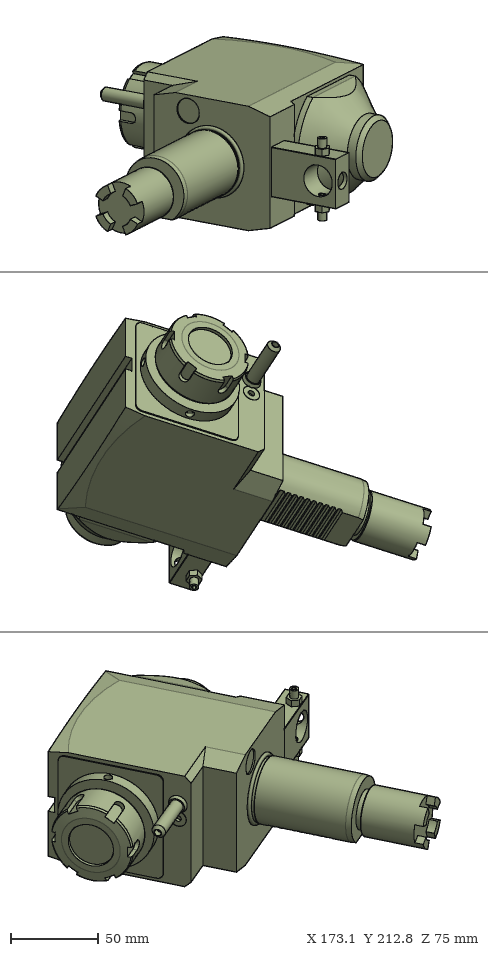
import cadquery as cq
import math


HALF_HEIGHT = 37.5
BACK_Y = 108.0
BLOCK_LEFT = -58.2
BLOCK_RIGHT = 35.7
BLOCK_FRONT = 20.5
COLUMN_HALF_WIDTH = 39.0
BEVEL_ANGLE = math.radians(15)
BEVEL_WIDTH = 14.5
BEVEL_DROP = BEVEL_WIDTH * math.tan(BEVEL_ANGLE)
COLUMN_SIDE_END = 26.7
COLUMN_BACK = 28.6
BACK_CONE_CENTER = (-17.0, -4.2)
BACK_CONE_RADIUS = 108.0
BACK_CONE_SPAN = 30.0
BACK_CONE_ANGLE = math.radians(10)
KEYWAY_WIDTH = 10.0
KEYWAY_DEPTH = 4.0
FRONT_PLUG_X = -16.0
FRONT_PLUG_Z = 27.8
FRONT_PLUG_RADIUS = 7.5
FRONT_PLUG_RECESS = 1.0

SPINDLE_Y = 69.5
TIP_X = -90.9
COVER_SPAN_Y = 64.4
COVER_SPAN_Z = 70.0
COVER_THICKNESS = 0.8
COVER_CORNER_RADIUS = 4.0
COLLAR_LEFT = -66.5
COLLAR_RADIUS = 29.5
NECK_RADIUS = 20.5
NUT_RADIUS = 25.0
NUT_RIGHT = -68.4
NUT_CHAMFER = 0.6
NUT_CHAMFER_LENGTH = 1.1
NUT_RIM_RADIUS = 24.4
NUT_RIM_X = TIP_X + 1.0
NUT_CONE_END_X = TIP_X + 2.5
NUT_FACE_RADIUS = 18.0
NUT_BORE_RADIUS = 13.8
NUT_BORE_DEPTH = 2.0
NUT_SLOT_WIDTH = 6.4
NUT_SLOT_FLOOR = 22.2
NUT_SLOT_COUNT = 6
SHORT_SLOT_LENGTH = 12.5
LONG_SLOT_LENGTH = 16.7
TOP_SLOTS = (1, 2)
COLLAR_HOLE_X = -62.8
COLLAR_HOLE_RADIUS = 2.5
COLLAR_HOLE_DEPTH = 3.0
DRILL_HALF_ANGLE = math.radians(59)
COLLAR_HOLE_COUNT = 4

TUBE_Y = 28.6
TUBE_Z = 17.7
TUBE_RADIUS = 4.1
TUBE_TIP_CHAMFER = 1.8
TUBE_BORE_RADIUS = 2.0
TUBE_BORE_DEPTH = 4.0
TUBE_FLANGE_RADIUS = 5.7
TUBE_FLANGE_LENGTH = 2.3
TUBE_FLANGE_TOP_RADIUS = 4.9
SIDE_PLUG_Z = 7.8
SIDE_PLUG_RADIUS = 5.1
SIDE_PLUG_RECESS = 0.2
SIDE_PLUG_SOCKET_RADIUS = 1.9
SIDE_PLUG_SOCKET_DEPTH = 2.5

CAP_RADIUS = 40.0
CAP_FLANGE_RIGHT = 39.6
CAP_HUB_RADIUS = 19.4
CAP_RIGHT = 68.7
CAP_CHAMFER = 2.7
CAP_FLAT_Z = 32.5
CAP_BACK_Y = 101.0

SHANK_RADIUS = 20.0
SHANK_LENGTH = 63.0
SHANK_COLLAR_RADIUS = 21.5
SHANK_COLLAR_LENGTH = 1.9
SHANK_COLLAR_ROUND = 1.5
RELIEF_RADIUS = 19.5
RELIEF_END = 3.6
SHANK_TAPER_LENGTH = 3.3
SHANK_END_RADIUS = 19.6
DRIVE_NECK_RADIUS = 12.0
DRIVE_START = 66.7
DRIVE_RADIUS = 15.25
DRIVE_CHAMFER = 0.5
CLAW_TIP = 104.85
CLAW_LENGTH = 5.1
CLAW_INNER_RADIUS = 10.0
CLAW_HALF_ANGLE = math.radians(21.5)
CLAW_COUNT = 4
RACK_FLAT_Z = -15.7
RACK_START = 4.7
RACK_END = 48.4
RACK_TOOTH_PITCH = 4.0
RACK_TOOTH_DEPTH = 1.0
RACK_TOOTH_HALF_WIDTH = 1.2
RACK_GROOVE_COUNT = 9
FIRST_TOOTH_Y = 13.6

ARM_RIGHT = 82.2
ARM_FRONT = 1.3
ARM_BACK = 16.2
ARM_HALF_HEIGHT = 15.0
ARM_BORE_X = 70.4
ARM_BORE_RADIUS = 9.5
ARM_EDGE_CHAMFER = 0.3
ARM_END_HOLE_RADIUS = 5.0
SCREW_Y = 5.9
SCREW_RADIUS = 2.6
SCREW_TIP = 24.7
SCREW_INNER_END = 10.0
SCREW_PILOT_RADIUS = 2.1
SCREW_SOCKET_FLATS = 2.5
SCREW_SOCKET_DEPTH = 2.5
LOCK_NUT_FLATS = 8.0
LOCK_NUT_HEIGHT = 4.1


def corner_diameter(across_flats):
    """Diameter over the corners of a hexagon."""
    return across_flats / math.cos(math.pi / 6)


def turned_along_x(outline, y, z):
    """Revolve an (x, radius) outline about the line parallel to X at (y, z)."""
    profile = cq.Workplane("XY").polyline(outline).close()
    return profile.revolve(360, (0, 0, 0), (1, 0, 0)).translate((0, y, z))


def turned_along_shank(outline):
    """Revolve a (radius, distance from the housing) outline about the shank axis."""
    points = [(radius, -distance) for radius, distance in outline]
    return cq.Workplane("XY").polyline(points).close().revolve(360, (0, 0, 0), (0, 1, 0))


def mirrored_outline(upper_half):
    """Complete an outline whose lower half mirrors the given upper points."""
    return upper_half + [(u, -v) for u, v in reversed(upper_half)]


def make_spindle_block():
    front_edge = HALF_HEIGHT - BEVEL_DROP
    upper = [
        (BLOCK_FRONT, front_edge),
        (BLOCK_FRONT + BEVEL_DROP, HALF_HEIGHT),
        (BACK_Y, HALF_HEIGHT),
    ]
    profile = cq.Workplane("YZ", origin=(BLOCK_LEFT, 0, 0)).polyline(mirrored_outline(upper)).close()
    block = profile.extrude(BLOCK_RIGHT - BLOCK_LEFT)
    bevel_start = COLUMN_HALF_WIDTH - BEVEL_WIDTH
    side_limit = [
        (BLOCK_LEFT, HALF_HEIGHT),
        (bevel_start, HALF_HEIGHT),
        (COLUMN_HALF_WIDTH, front_edge),
    ]
    limit = cq.Workplane("XZ").polyline(mirrored_outline(side_limit)).close().extrude(-BACK_Y)
    return block.intersect(limit)


def make_column():
    plan = [
        (-COLUMN_HALF_WIDTH, 0),
        (COLUMN_HALF_WIDTH, 0),
        (COLUMN_HALF_WIDTH, COLUMN_SIDE_END),
        (BLOCK_RIGHT, COLUMN_BACK),
        (-COLUMN_HALF_WIDTH, COLUMN_BACK),
    ]
    column = cq.Workplane("XY").polyline(plan).close().extrude(HALF_HEIGHT, both=True)
    edge_z = HALF_HEIGHT - BEVEL_DROP
    flat_half = COLUMN_HALF_WIDTH - BEVEL_WIDTH
    upper = [
        (-COLUMN_HALF_WIDTH, edge_z),
        (-flat_half, HALF_HEIGHT),
        (flat_half, HALF_HEIGHT),
        (COLUMN_HALF_WIDTH, edge_z),
    ]
    limit = cq.Workplane("XZ").polyline(mirrored_outline(upper)).close().extrude(-BACK_Y)
    return column.intersect(limit)


def make_back_cone_cutter():
    """Ring that slopes the rear edge of the upper face down as a shallow cone."""
    outer = BACK_CONE_RADIUS + BACK_CONE_SPAN
    outer_z = HALF_HEIGHT - BACK_CONE_SPAN * math.tan(BACK_CONE_ANGLE)
    outline = [(BACK_CONE_RADIUS, HALF_HEIGHT), (outer, HALF_HEIGHT), (outer, outer_z)]
    ring = cq.Workplane("XZ").polyline(outline).close().revolve(360, (0, 0, 0), (0, 1, 0))
    return ring.translate((*BACK_CONE_CENTER, 0))


def make_housing():
    housing = make_spindle_block().union(make_column())
    upper_cutter = make_back_cone_cutter()
    housing = housing.cut(upper_cutter).cut(upper_cutter.mirror("XY"))
    keyway_length = 2 * max(-BLOCK_LEFT, BLOCK_RIGHT)
    keyway = cq.Workplane("XY").box(keyway_length, 2 * KEYWAY_DEPTH, KEYWAY_WIDTH)
    plug = cq.Workplane("XZ").center(FRONT_PLUG_X, FRONT_PLUG_Z).circle(FRONT_PLUG_RADIUS)
    return housing.cut(keyway.translate((0, BACK_Y, 0))).cut(plug.extrude(-FRONT_PLUG_RECESS))


def make_cover_plate():
    plate = cq.Workplane("YZ", origin=(BLOCK_LEFT, SPINDLE_Y, 0)).rect(COVER_SPAN_Y, COVER_SPAN_Z)
    return plate.extrude(-COVER_THICKNESS).edges("|X").fillet(COVER_CORNER_RADIUS)


def make_nut_slot(index):
    """Round-ended slot milled into the rim of the nut from its open end."""
    length = LONG_SLOT_LENGTH if index in TOP_SLOTS else SHORT_SLOT_LENGTH
    arc_center = TIP_X + length - NUT_SLOT_WIDTH / 2
    half = NUT_SLOT_WIDTH / 2
    slot = (
        cq.Workplane("XZ", origin=(0, NUT_SLOT_FLOOR, 0))
        .moveTo(TIP_X, -half)
        .lineTo(arc_center, -half)
        .threePointArc((arc_center + half, 0), (arc_center, half))
        .lineTo(TIP_X, half)
        .close()
        .extrude(-NUT_RADIUS)
    )
    angle = index * 360 / NUT_SLOT_COUNT
    return slot.rotate((0, 0, 0), (1, 0, 0), angle).translate((0, SPINDLE_Y, 0))


def make_collar_hole(index):
    """Radial drilled hole with a conical floor in the spindle collar."""
    floor_z = COLLAR_RADIUS - COLLAR_HOLE_DEPTH
    point_z = floor_z - COLLAR_HOLE_RADIUS / math.tan(DRILL_HALF_ANGLE)
    outline = [
        (0, point_z),
        (COLLAR_HOLE_RADIUS, floor_z),
        (COLLAR_HOLE_RADIUS, COLLAR_RADIUS + COLLAR_HOLE_DEPTH),
        (0, COLLAR_RADIUS + COLLAR_HOLE_DEPTH),
    ]
    hole = cq.Workplane("XZ").polyline(outline).close().revolve(360, (0, 0, 0), (0, 1, 0))
    hole = hole.translate((COLLAR_HOLE_X, 0, 0))
    angle = index * 360 / COLLAR_HOLE_COUNT
    return hole.rotate((0, 0, 0), (1, 0, 0), angle).translate((0, SPINDLE_Y, 0))


def make_spindle():
    bore_floor = TIP_X + NUT_BORE_DEPTH
    outline = [
        (bore_floor, 0),
        (bore_floor, NUT_BORE_RADIUS),
        (TIP_X, NUT_BORE_RADIUS),
        (TIP_X, NUT_FACE_RADIUS),
        (NUT_RIM_X, NUT_RIM_RADIUS),
        (NUT_CONE_END_X, NUT_RADIUS),
        (NUT_RIGHT - NUT_CHAMFER_LENGTH, NUT_RADIUS),
        (NUT_RIGHT, NUT_RADIUS - NUT_CHAMFER),
        (NUT_RIGHT, NECK_RADIUS),
        (COLLAR_LEFT, NECK_RADIUS),
        (COLLAR_LEFT, COLLAR_RADIUS),
        (BLOCK_LEFT, COLLAR_RADIUS),
        (BLOCK_LEFT, 0),
    ]
    spindle = turned_along_x(outline, SPINDLE_Y, 0)
    for index in range(NUT_SLOT_COUNT):
        spindle = spindle.cut(make_nut_slot(index))
    for index in range(COLLAR_HOLE_COUNT):
        spindle = spindle.cut(make_collar_hole(index))
    return spindle


def make_coolant_tube():
    flange_left = BLOCK_LEFT - TUBE_FLANGE_LENGTH
    bore_floor = TIP_X + TUBE_BORE_DEPTH
    outline = [
        (bore_floor, 0),
        (bore_floor, TUBE_BORE_RADIUS),
        (TIP_X, TUBE_BORE_RADIUS),
        (TIP_X, TUBE_RADIUS - TUBE_TIP_CHAMFER),
        (TIP_X + TUBE_TIP_CHAMFER, TUBE_RADIUS),
        (flange_left, TUBE_RADIUS),
        (flange_left, TUBE_FLANGE_TOP_RADIUS),
        (BLOCK_LEFT, TUBE_FLANGE_RADIUS),
        (BLOCK_LEFT, 0),
    ]
    return turned_along_x(outline, TUBE_Y, TUBE_Z)


def make_side_plug_cutter():
    """Plug set slightly below the left face, with a small central socket."""
    center = cq.Workplane("YZ", origin=(BLOCK_LEFT, TUBE_Y, SIDE_PLUG_Z))
    recess = center.circle(SIDE_PLUG_RADIUS).extrude(SIDE_PLUG_RECESS)
    return recess.union(center.circle(SIDE_PLUG_SOCKET_RADIUS).extrude(SIDE_PLUG_SOCKET_DEPTH))


def make_rear_cap():
    cone_right = CAP_FLANGE_RIGHT + CAP_RADIUS - CAP_HUB_RADIUS
    outline = [
        (BLOCK_RIGHT, 0),
        (BLOCK_RIGHT, CAP_RADIUS),
        (CAP_FLANGE_RIGHT, CAP_RADIUS),
        (cone_right, CAP_HUB_RADIUS),
        (CAP_RIGHT - CAP_CHAMFER, CAP_HUB_RADIUS),
        (CAP_RIGHT, CAP_HUB_RADIUS - CAP_CHAMFER),
        (CAP_RIGHT, 0),
    ]
    cap = turned_along_x(outline, SPINDLE_Y, 0)
    end_z = CAP_FLAT_Z - (CAP_RIGHT - CAP_FLANGE_RIGHT) * math.tan(BEVEL_ANGLE)
    upper = [(BLOCK_RIGHT, CAP_FLAT_Z), (CAP_FLANGE_RIGHT, CAP_FLAT_Z), (CAP_RIGHT, end_z)]
    limit = cq.Workplane("XZ").polyline(mirrored_outline(upper)).close().extrude(-CAP_BACK_Y)
    return cap.intersect(limit)


def make_rack_cutter():
    """Clearance below the shank that leaves a flat with a row of small teeth."""
    root_z = RACK_FLAT_Z + RACK_TOOTH_DEPTH
    outline = [
        (-RACK_START, -SHANK_RADIUS),
        (-RACK_START - SHANK_RADIUS - root_z, root_z),
    ]
    for index in range(RACK_GROOVE_COUNT):
        tooth_y = FIRST_TOOTH_Y + index * RACK_TOOTH_PITCH
        outline.append((-tooth_y + RACK_TOOTH_HALF_WIDTH, root_z))
        outline.append((-tooth_y, RACK_FLAT_Z))
        outline.append((-tooth_y - RACK_TOOTH_HALF_WIDTH, root_z))
    outline.append((-RACK_END, root_z))
    outline.append((-RACK_END - RACK_TOOTH_HALF_WIDTH, RACK_FLAT_Z))
    outline.append((-SHANK_LENGTH, RACK_FLAT_Z))
    outline.append((-SHANK_LENGTH, -SHANK_RADIUS))
    return cq.Workplane("YZ").polyline(outline).close().extrude(SHANK_RADIUS, both=True)


def make_claw_cutter():
    """Central clearance and radial gaps that leave the driving claws standing."""
    base = cq.Workplane("XZ", origin=(0, CLAW_LENGTH - CLAW_TIP, 0))
    cutter = base.circle(CLAW_INNER_RADIUS).extrude(CLAW_LENGTH)
    gap_half_angle = math.pi / CLAW_COUNT - CLAW_HALF_ANGLE
    gap_reach = 2 * DRIVE_RADIUS
    gap_half_width = gap_reach * math.tan(gap_half_angle)
    wedge = [(0, 0), (gap_reach, -gap_half_width), (gap_reach, gap_half_width)]
    gap = base.polyline(wedge).close().extrude(CLAW_LENGTH)
    for index in range(CLAW_COUNT):
        cutter = cutter.union(gap.rotate((0, 0, 0), (0, 1, 0), index * 360 / CLAW_COUNT))
    return cutter


def make_shank_collar():
    """Collar against the housing with a rounded outer rim."""
    round_center = (
        SHANK_COLLAR_RADIUS - SHANK_COLLAR_ROUND,
        SHANK_COLLAR_ROUND - SHANK_COLLAR_LENGTH,
    )
    diagonal = SHANK_COLLAR_ROUND * math.sqrt(0.5)
    return (
        cq.Workplane("XY")
        .lineTo(SHANK_COLLAR_RADIUS, 0)
        .lineTo(SHANK_COLLAR_RADIUS, round_center[1])
        .threePointArc(
            (round_center[0] + diagonal, round_center[1] - diagonal),
            (round_center[0], -SHANK_COLLAR_LENGTH),
        )
        .lineTo(0, -SHANK_COLLAR_LENGTH)
        .close()
        .revolve(360, (0, 0, 0), (0, 1, 0))
    )


def make_shank():
    outline = [
        (0, 0),
        (RELIEF_RADIUS, 0),
        (RELIEF_RADIUS, RELIEF_END),
        (SHANK_RADIUS, RELIEF_END),
        (SHANK_RADIUS, SHANK_LENGTH - SHANK_TAPER_LENGTH),
        (SHANK_END_RADIUS, SHANK_LENGTH),
        (DRIVE_NECK_RADIUS, SHANK_LENGTH),
        (DRIVE_NECK_RADIUS, DRIVE_START),
        (DRIVE_RADIUS - DRIVE_CHAMFER, DRIVE_START),
        (DRIVE_RADIUS, DRIVE_START + DRIVE_CHAMFER),
        (DRIVE_RADIUS, CLAW_TIP),
        (0, CLAW_TIP),
    ]
    shank = turned_along_shank(outline).union(make_shank_collar())
    return shank.cut(make_rack_cutter()).cut(make_claw_cutter())


def make_clamping_screw():
    """Upper clamping screw with its lock nut and hexagon socket."""
    base = cq.Workplane("XY", origin=(ARM_BORE_X, SCREW_Y, SCREW_INNER_END))
    screw = base.circle(SCREW_RADIUS).extrude(SCREW_TIP - SCREW_INNER_END)
    seat = cq.Workplane("XY", origin=(ARM_BORE_X, SCREW_Y, ARM_HALF_HEIGHT))
    lock_nut = seat.polygon(6, corner_diameter(LOCK_NUT_FLATS)).extrude(LOCK_NUT_HEIGHT)
    top = cq.Workplane("XY", origin=(ARM_BORE_X, SCREW_Y, SCREW_TIP))
    socket = top.polygon(6, corner_diameter(SCREW_SOCKET_FLATS)).extrude(-SCREW_SOCKET_DEPTH)
    return screw.union(lock_nut).cut(socket)


def make_arm():
    length = ARM_RIGHT - COLUMN_HALF_WIDTH
    arm = cq.Workplane("YZ", origin=(COLUMN_HALF_WIDTH, (ARM_FRONT + ARM_BACK) / 2, 0))
    arm = arm.rect(ARM_BACK - ARM_FRONT, 2 * ARM_HALF_HEIGHT).extrude(length)
    arm = arm.edges("|X").chamfer(ARM_EDGE_CHAMFER)
    bore = cq.Workplane("XZ").center(ARM_BORE_X, 0).circle(ARM_BORE_RADIUS).extrude(-ARM_BACK)
    pilot = cq.Workplane("XY").center(ARM_BORE_X, SCREW_Y).circle(SCREW_PILOT_RADIUS)
    end_hole = cq.Workplane("YZ", origin=(ARM_BORE_X, (ARM_FRONT + ARM_BACK) / 2, 0))
    end_hole = end_hole.circle(ARM_END_HOLE_RADIUS).extrude(ARM_RIGHT - ARM_BORE_X)
    arm = arm.cut(bore).cut(end_hole).cut(pilot.extrude(SCREW_INNER_END, both=True))
    screw = make_clamping_screw()
    return arm.union(screw).union(screw.mirror("XY"))


result = (
    make_housing()
    .cut(make_side_plug_cutter())
    .union(make_cover_plate())
    .union(make_spindle())
    .union(make_coolant_tube())
    .union(make_rear_cap())
    .union(make_shank())
    .union(make_arm())
)